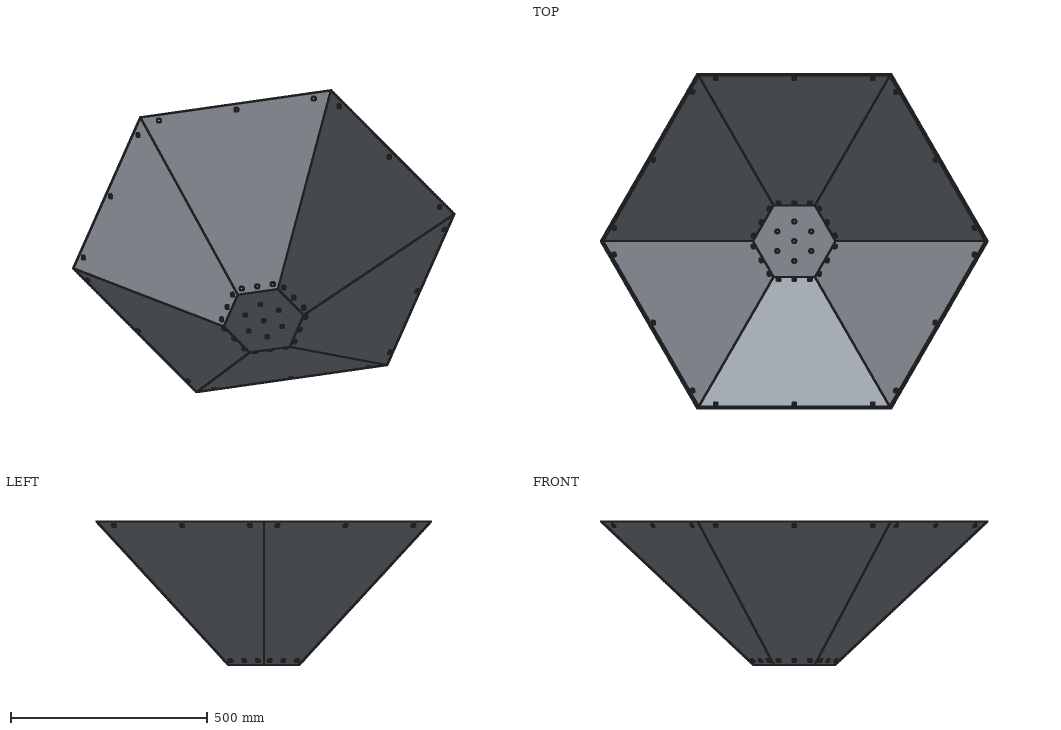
import cadquery as cq
import math

rim_across_corners = 984.8
base_across_corners = 207.0
height = 366.2
wall_thickness = 3.6
floor_thickness = 7.0

wall_hole_diameter = 10
rim_hole_spacing = 200.0
rim_hole_edge_distance = 15.0
base_hole_spacing = 40.0
base_hole_edge_distance = 15.0
cutter_reach = 1.3 * wall_thickness

floor_hole_diameter = 9.0
floor_hole_circle_radius = 50.0

sides = 6
flat_ratio = math.cos(math.pi / sides)
rim_flat_radius = rim_across_corners / 2 * flat_ratio
base_flat_radius = base_across_corners / 2 * flat_ratio
wall_run = rim_flat_radius - base_flat_radius
slope_length = math.hypot(wall_run, height)
slope_angle = math.atan2(height, wall_run)
wall_offset = wall_thickness / math.sin(slope_angle)
floor_flat_radius = base_flat_radius + floor_thickness / math.tan(slope_angle) - wall_offset
mouth_flat_radius = rim_flat_radius - wall_offset


def hexagonal_frustum(z_bottom, bottom_flat_radius, z_top, top_flat_radius):
    """Solid frustum with corners on the X axis."""
    return (
        cq.Workplane("XY", origin=(0, 0, z_bottom))
        .polygon(sides, 2 * bottom_flat_radius / flat_ratio)
        .workplane(offset=z_top - z_bottom)
        .polygon(sides, 2 * top_flat_radius / flat_ratio)
        .loft(ruled=True, combine=True)
    )


def make_shell():
    outside = hexagonal_frustum(0, base_flat_radius, height, rim_flat_radius)
    inside = hexagonal_frustum(floor_thickness, floor_flat_radius, height, mouth_flat_radius)
    return outside.cut(inside)


def wall_hole_cutters():
    """Cutters square to the wall on the -Y side: a row of three at the rim and at the base."""
    outward = (0, -math.sin(slope_angle), -math.cos(slope_angle))
    wall = cq.Plane(origin=(0, -base_flat_radius, 0), xDir=(1, 0, 0), normal=outward)
    rim_row = slope_length - rim_hole_edge_distance
    rows = [(rim_row, rim_hole_spacing), (base_hole_edge_distance, base_hole_spacing)]
    centres = [(step * spacing, along) for along, spacing in rows for step in (-1, 0, 1)]
    return (
        cq.Workplane(wall)
        .pushPoints(centres)
        .circle(wall_hole_diameter / 2)
        .extrude(cutter_reach, both=True)
    )


def cut_wall_holes(body):
    cutters = wall_hole_cutters()
    for side in range(sides):
        turned = cutters.rotate((0, 0, 0), (0, 0, 1), side * 360 / sides)
        body = body.cut(turned, clean=False)
    return body


def cut_floor_holes(body):
    """One hole in the middle and a circle of six, two of them on the Y axis."""
    circle_of_holes = (
        cq.Workplane("XY")
        .polarArray(floor_hole_circle_radius, 90, 360, sides)
        .circle(floor_hole_diameter / 2)
        .extrude(floor_thickness)
    )
    centre_hole = cq.Workplane("XY").circle(floor_hole_diameter / 2).extrude(floor_thickness)
    return body.cut(circle_of_holes, clean=False).cut(centre_hole, clean=False)


result = cut_floor_holes(cut_wall_holes(make_shell()))